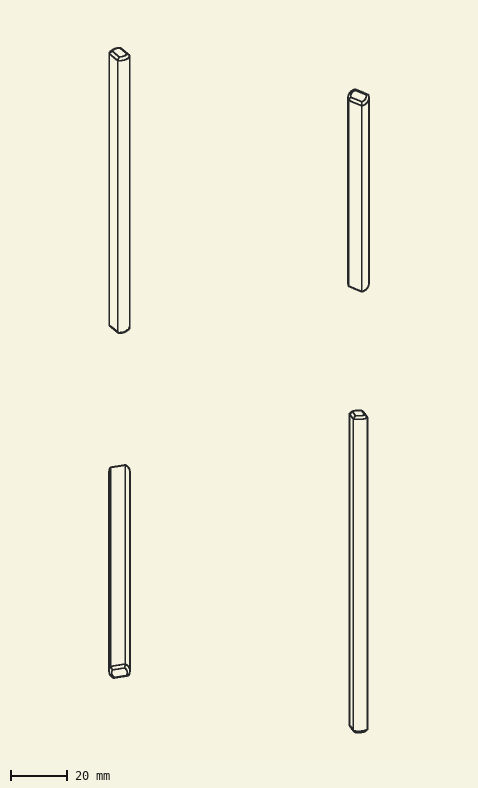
import cadquery as cq

length = 120.0
diameter = 7.5
across_flats = 5.3
flat_direction = 52.5
end_chamfer = 1.0


def flatted_bar():
    """Round bar trimmed to two parallel flats, centred on the origin."""
    bar = cq.Workplane("XY").circle(diameter / 2).extrude(length / 2, both=True)
    slab = (
        cq.Workplane("XY")
        .box(across_flats, diameter * 2, length)
        .rotate((0, 0, 0), (0, 0, 1), flat_direction)
    )
    return bar.intersect(slab)


result = flatted_bar().faces("|Z").chamfer(end_chamfer)